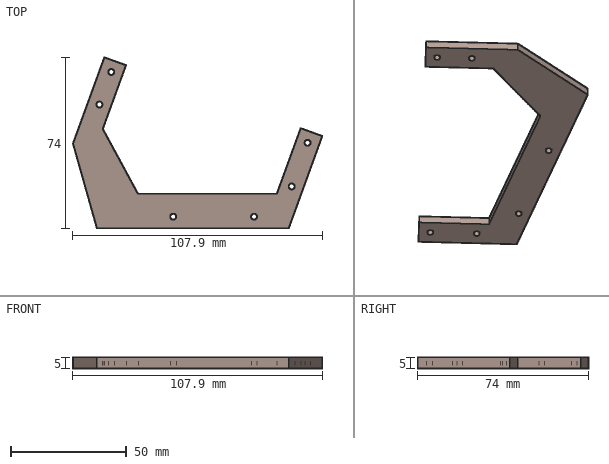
import cadquery as cq
import math

thickness = 5.0
overall_length = 107.9
overall_width = 74.0
bar_width = 15.0
arm_width = 10.0
arm_angle = 70.0
right_arm_length = 42.5
left_corner_height = 36.7
bar_start = 10.4
inner_bar_start = 28.2
left_arm_inner_length = 29.4

hole_diameter = 2.5
end_hole_distance = 5.0
left_hole_distance = 20.0
right_hole_distance = 25.0
bar_hole_height = 5.1
bar_hole_positions = (43.4, 78.4)

arm_cos = math.cos(math.radians(arm_angle))
arm_sin = math.sin(math.radians(arm_angle))


def from_tip(tip, along, across):
    """Point measured from an arm tip: down the arm, then across it toward +X."""
    return (
        tip[0] - along * arm_cos + across * arm_sin,
        tip[1] - along * arm_sin - across * arm_cos,
    )


left_tip = ((overall_width - left_corner_height) / math.tan(math.radians(arm_angle)), overall_width)
right_tip = (overall_length, right_arm_length * arm_sin)

right_inner_tip = from_tip(right_tip, 0, -arm_width)
right_inner_length = (right_inner_tip[1] - bar_width) / arm_sin

outline = [
    (bar_start, 0),
    from_tip(right_tip, right_arm_length, 0),
    right_tip,
    right_inner_tip,
    from_tip(right_tip, right_inner_length, -arm_width),
    (inner_bar_start, bar_width),
    from_tip(left_tip, left_arm_inner_length, arm_width),
    from_tip(left_tip, 0, arm_width),
    left_tip,
    (0, left_corner_height),
]
plate = cq.Workplane("XY").polyline(outline).close().extrude(thickness)

hole_centres = [(x, bar_hole_height) for x in bar_hole_positions]
for distance in (end_hole_distance, left_hole_distance):
    hole_centres.append(from_tip(left_tip, distance, arm_width / 2))
for distance in (end_hole_distance, right_hole_distance):
    hole_centres.append(from_tip(right_tip, distance, -arm_width / 2))

holes = cq.Workplane("XY").pushPoints(hole_centres).circle(hole_diameter / 2).extrude(thickness)
result = plate.cut(holes)